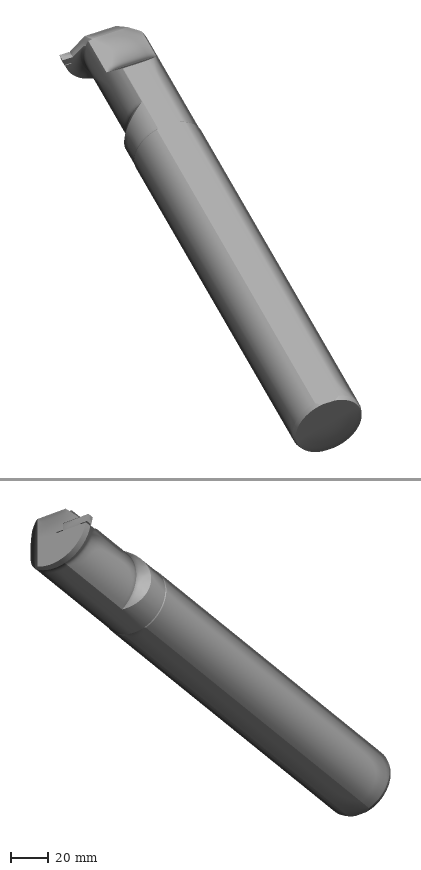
import cadquery as cq
import math

length = 300.0
shank_radius = 20.0
neck_radius = 19.8
shank_start = 84.0
shoulder_chamfer = 0.5
end_chamfer = 2.5
end_chamfer_depth = 1.0
flat_height = 19.0

relief_radius = 24.0
relief_center_y = 8.7
relief_length = 63.0
relief_runout_angle = 31.0

head_top = 11.0
ramp_start = 30.0
ramp_end = 37.2
top_bevel_length = 4.8
top_bevel_drop = 1.8
corner_chamfer_y = 6.0

blade_thickness = 4.2
blade_radius = 23.0
blade_center_y = -2.7
blade_center_z = 0.3
cove_radius = 1.2
chip_slope_y = -12.3

tip_y = -27.0
insert_back_y = -5.0
insert_top = 0.5
insert_height = 4.8
insert_end_taper = 1.2
cutting_end_length = 5.5
waist_relief_depth = 0.3
end_underside_relief = 0.5


def extrude_along_x(outline, x_length):
    """Extrude a closed (y, z) outline from x = 0 towards +X."""
    return outline.close().extrude(x_length)


def make_bar():
    bar = (
        cq.Workplane("XY")
        .moveTo(0, 0)
        .lineTo(0, neck_radius)
        .lineTo(shank_start, neck_radius)
        .lineTo(shank_start + shoulder_chamfer, shank_radius)
        .lineTo(length - end_chamfer, shank_radius)
        .lineTo(length, shank_radius - end_chamfer_depth)
        .lineTo(length, 0)
        .close()
        .revolve(360, (0, 0, 0), (1, 0, 0))
    )
    flats = ((0, flat_height), (shank_start, -flat_height - shank_radius))
    for start, bottom in flats:
        flat_cut = cq.Workplane("XY", origin=(start, 0, bottom)).box(
            length, 4 * shank_radius, shank_radius, centered=(False, True, False)
        )
        bar = bar.cut(flat_cut)
    return bar


def relieve_side(bar):
    runout_length = length - relief_length
    runout_radius = relief_radius + runout_length * math.tan(math.radians(relief_runout_angle))
    cove_outer_y = relief_center_y + relief_radius + cove_radius
    envelope = (
        cq.Workplane("XY")
        .moveTo(0, relief_center_y)
        .lineTo(0, cove_outer_y)
        .lineTo(blade_thickness, cove_outer_y)
        .radiusArc((blade_thickness + cove_radius, cove_outer_y - cove_radius), -cove_radius)
        .lineTo(relief_length, relief_center_y + relief_radius)
        .lineTo(length, relief_center_y + runout_radius)
        .lineTo(length, relief_center_y)
        .close()
        .revolve(360, (0, relief_center_y, 0), (1, relief_center_y, 0))
    )
    return bar.intersect(envelope)


def make_blade():
    """Round plate, limited to the head top and to the chamfered corner."""
    disc = (
        cq.Workplane("YZ")
        .center(blade_center_y, blade_center_z)
        .circle(blade_radius)
        .extrude(blade_thickness)
    )
    blade_end_y = corner_chamfer_y + blade_thickness
    limit = extrude_along_x(
        cq.Workplane("YZ").polyline([
            (blade_end_y, -2 * blade_radius),
            (blade_end_y, head_top),
            (tip_y, head_top),
            (tip_y, -2 * blade_radius),
        ]),
        blade_thickness,
    )
    return disc.intersect(limit)


def make_chip_space():
    """Space over the insert, bounded by a 45 degree slope up to the head top."""
    slope_top_z = head_top - top_bevel_drop
    slope_end_y = chip_slope_y - (slope_top_z - insert_top)
    return extrude_along_x(
        cq.Workplane("YZ").polyline([
            (slope_end_y, insert_top),
            (slope_end_y + flat_height, insert_top + flat_height),
            (2 * tip_y, insert_top + flat_height),
            (2 * tip_y, insert_top),
        ]),
        blade_thickness + cove_radius,
    )


def cut_head(bar):
    step = (
        cq.Workplane("XZ")
        .polyline([
            (0, head_top - top_bevel_drop),
            (top_bevel_length, head_top),
            (ramp_start, head_top),
            (ramp_end, flat_height),
            (ramp_end, 2 * flat_height),
            (0, 2 * flat_height),
        ])
        .close()
        .extrude(2 * shank_radius, both=True)
    )
    corner_size = 2 * shank_radius
    corner = (
        cq.Workplane("XY")
        .polyline([
            (0, corner_chamfer_y),
            (corner_size, corner_chamfer_y + corner_size),
            (0, corner_chamfer_y + corner_size),
        ])
        .close()
        .extrude(2 * shank_radius, both=True)
    )
    return bar.cut(step).cut(corner)


def make_insert_seat():
    """Tapered slot in the blade, open at the end face."""
    seat_bottom = insert_top - insert_height
    return extrude_along_x(
        cq.Workplane("YZ").polyline([
            (insert_back_y, insert_top),
            (tip_y, insert_top),
            (tip_y + insert_end_taper, seat_bottom),
            (insert_back_y - insert_end_taper, seat_bottom),
        ]),
        blade_thickness,
    )


def make_insert():
    """Fill the seat, then relieve the face between the cutting ends and the underside of each end."""
    insert = make_insert_seat()
    middle_y = (tip_y + insert_back_y) / 2
    insert_length = insert_back_y - tip_y
    waist_length = insert_length - 2 * cutting_end_length
    waist_relief = cq.Workplane("XY", origin=(0, middle_y, 0)).box(
        2 * waist_relief_depth, waist_length, 4 * insert_height
    )
    insert = insert.cut(waist_relief)
    seat_bottom = insert_top - insert_height
    for end_y in (tip_y, insert_back_y):
        underside_relief = cq.Workplane("XY", origin=(0, end_y, seat_bottom)).box(
            2 * blade_thickness, 2 * cutting_end_length, 2 * end_underside_relief
        )
        insert = insert.cut(underside_relief)
    return insert


insert = make_insert()
holder = relieve_side(make_bar()).union(make_blade())
holder = cut_head(holder).cut(make_chip_space()).cut(make_insert_seat())

result = cq.Compound.makeCompound([holder.val(), insert.val()])